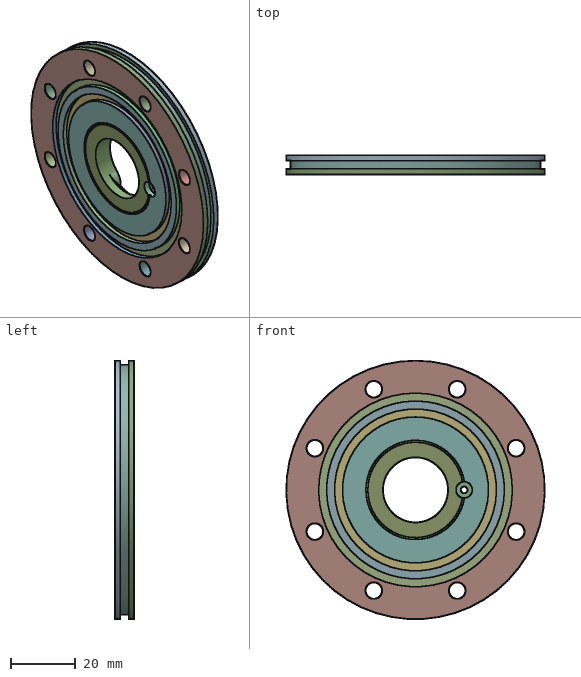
import cadquery as cq
import math

disc_diameter = 79.8
thickness = 6.0
front_y = -thickness / 2
back_y = thickness / 2
bore_diameter = 20.0

rim_groove_diameter = 77.2
rim_groove_width = 2.5

seal_grooves = [(59.7, 54.8), (49.9, 45.0)]
seal_groove_depth = 1.4

fine_groove = (30.6, 29.4)
fine_groove_depth = 0.5

bolt_count = 8
bolt_hole_diameter = 5.0
bolt_hole_mouth_diameter = 5.2
bolt_hole_chamfer = (bolt_hole_mouth_diameter - bolt_hole_diameter) / 2
bolt_circle_diameter = 67.2

pin_x = sum(fine_groove) / 4
pin_hole_diameter = 2.0
pin_counterbore_diameter = 5.0
pin_counterbore_depth = 2.0

notch_width = 10.0
notch_depth = 3.0
notch_diameter = 26.0
notch_mouth_radius = 6.0


def cylinder(diameter, y_start, length, x=0.0, z=0.0):
    """Solid cylinder along +Y starting at y_start."""
    base = cq.Vector(x, y_start, z)
    axis = cq.Vector(0, 1, 0)
    return cq.Workplane(cq.Solid.makeCylinder(diameter / 2, length, base, axis))


def cone(start_diameter, end_diameter, y_start, length, x=0.0, z=0.0):
    """Solid truncated cone along +Y starting at y_start."""
    base = cq.Vector(x, y_start, z)
    axis = cq.Vector(0, 1, 0)
    return cq.Workplane(cq.Solid.makeCone(start_diameter / 2, end_diameter / 2, length, base, axis))


def ring(outer_diameter, inner_diameter, y_start, length):
    """Ring around the disc axis."""
    return cylinder(outer_diameter, y_start, length).cut(cylinder(inner_diameter, y_start, length))


def make_disc():
    disc = ring(disc_diameter, bore_diameter, front_y, thickness)
    return disc.cut(ring(disc_diameter, rim_groove_diameter, -rim_groove_width / 2, rim_groove_width))


def cut_face_grooves(body):
    for outer, inner in seal_grooves:
        body = body.cut(ring(outer, inner, front_y, seal_groove_depth))
    return body.cut(ring(*fine_groove, front_y, fine_groove_depth))


def cut_bolt_holes(body):
    pitch_angle = 2 * math.pi / bolt_count
    bolt_circle_radius = bolt_circle_diameter / 2
    for index in range(bolt_count):
        angle = pitch_angle / 2 + index * pitch_angle
        x = bolt_circle_radius * math.cos(angle)
        z = bolt_circle_radius * math.sin(angle)
        body = body.cut(cylinder(bolt_hole_diameter, front_y, thickness, x, z))
        mouth = cone(bolt_hole_mouth_diameter, bolt_hole_diameter, front_y, bolt_hole_chamfer, x, z)
        body = body.cut(mouth)
    return body


def cut_pin_hole(body):
    body = body.cut(cylinder(pin_hole_diameter, front_y, thickness, pin_x))
    return body.cut(cylinder(pin_counterbore_diameter, front_y, pin_counterbore_depth, pin_x))


def cut_notch(body):
    bore_radius = bore_diameter / 2
    center_x = notch_width / 2 + notch_mouth_radius
    center_distance = bore_radius + notch_mouth_radius
    center_z = -math.sqrt(center_distance**2 - center_x**2)
    mouth_x = center_x * bore_radius / center_distance
    mouth_z = center_z * bore_radius / center_distance
    side_x = notch_width / 2

    mid_angle = (math.pi + math.atan2(-center_z, -center_x)) / 2
    mid_x = center_x + notch_mouth_radius * math.cos(mid_angle)
    mid_z = center_z + notch_mouth_radius * math.sin(mid_angle)

    notch_bottom_z = -notch_diameter / 2
    slot = (
        cq.Workplane("XZ", origin=(0, back_y, 0))
        .moveTo(mouth_x, mouth_z)
        .threePointArc((mid_x, mid_z), (side_x, center_z))
        .lineTo(side_x, notch_bottom_z)
        .lineTo(-side_x, notch_bottom_z)
        .lineTo(-side_x, center_z)
        .threePointArc((-mid_x, mid_z), (-mouth_x, mouth_z))
        .close()
        .extrude(notch_depth)
    )
    start_y = back_y - notch_depth
    ramp = cone(bore_diameter, notch_diameter, start_y, notch_depth)
    return body.cut(slot.intersect(ramp))


result = make_disc()
result = cut_face_grooves(result)
result = cut_bolt_holes(result)
result = cut_pin_hole(result)
result = cut_notch(result)